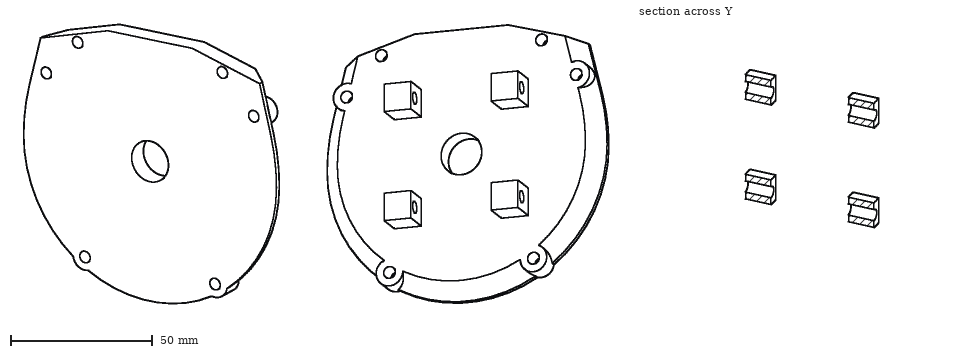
import cadquery as cq
import math

lower_radius = 52.5
side_radius = 78.8
plate_thickness = 8.0
rim_thickness = 2.0
bevel = plate_thickness - rim_thickness

top_height = 45.8
top_half_width = 17.5
corner_half_width = 45.5
corner_height = 37.8
untrimmed_height = 63.0

center_bore = 15.2
screw_hole = 4.3
boss_diameter = 10.0
top_screw = (30.0, 39.1)
side_screw = (43.0, 25.1)
bottom_screw = (27.0, -41.0)

lug_size = 10.1
lug_offset = 20.1
lug_length = 11.0
lug_hole_to_end = 4.0
overall_depth = plate_thickness + lug_length


def at_front():
    """Front-face workplane: local x is X, local y is Z, extrude negatively to go toward +Y."""
    return cq.Workplane("XZ")


def mirrored(point):
    """The point and its mirror image across the vertical centerline."""
    x, z = point
    return [(x, z), (-x, z)]


def beveled_body():
    """Half disc below the axis, then side arcs running into tangent sides, beveled at the back.

    The sides run past the top edges, so that trimming leaves those edges square.
    """
    arc_center = lower_radius - side_radius
    corner_reach = corner_half_width - arc_center
    corner_distance = math.hypot(corner_reach, corner_height)
    lean = math.atan2(corner_height, corner_reach) - math.acos(side_radius / corner_distance)

    def on_side_arc(angle):
        return (arc_center + side_radius * math.cos(angle), side_radius * math.sin(angle))

    mid_x, mid_z = on_side_arc(lean / 2)
    end_x, end_z = on_side_arc(lean)
    untrimmed_half_width = end_x - (untrimmed_height - end_z) * math.tan(lean)
    body = (
        at_front()
        .moveTo(-lower_radius, 0)
        .threePointArc((0, -lower_radius), (lower_radius, 0))
        .threePointArc((mid_x, mid_z), (end_x, end_z))
        .lineTo(untrimmed_half_width, untrimmed_height)
        .lineTo(-untrimmed_half_width, untrimmed_height)
        .lineTo(-end_x, end_z)
        .threePointArc((-mid_x, mid_z), (-lower_radius, 0))
        .close()
        .extrude(-plate_thickness)
    )
    return body.faces(">Y").chamfer(bevel)


def plate():
    """Beveled body trimmed by the flat top edge and the two sloped ones."""
    trim_outline = (
        at_front()
        .polyline([
            (-lower_radius, -lower_radius),
            (-lower_radius, corner_height),
            (-corner_half_width, corner_height),
            (-top_half_width, top_height),
            (top_half_width, top_height),
            (corner_half_width, corner_height),
            (lower_radius, corner_height),
            (lower_radius, -lower_radius),
        ])
        .close()
        .extrude(-plate_thickness)
    )
    return beveled_body().intersect(trim_outline)


def bosses():
    """Full-depth screw bosses at the sides and the bottom."""
    points = mirrored(side_screw) + mirrored(bottom_screw)
    return at_front().pushPoints(points).circle(boss_diameter / 2).extrude(-plate_thickness)


def lugs():
    """Four square lugs, cross-drilled along X."""
    blocks = (
        at_front()
        .workplane(offset=-plate_thickness)
        .rect(2 * lug_offset, 2 * lug_offset, forConstruction=True)
        .vertices()
        .rect(lug_size, lug_size)
        .extrude(-lug_length)
    )
    hole_y = overall_depth - lug_hole_to_end
    cross_holes = (
        cq.Workplane("YZ")
        .pushPoints([(hole_y, -lug_offset), (hole_y, lug_offset)])
        .circle(screw_hole / 2)
        .extrude(lower_radius, both=True)
    )
    return blocks.cut(cross_holes)


def bores():
    """Center bore and six screw holes through the plate."""
    points = mirrored(top_screw) + mirrored(side_screw) + mirrored(bottom_screw)
    screw_holes = at_front().pushPoints(points).circle(screw_hole / 2).extrude(-plate_thickness)
    center = at_front().circle(center_bore / 2).extrude(-plate_thickness)
    return screw_holes.union(center)


result = plate().union(bosses()).union(lugs()).cut(bores())